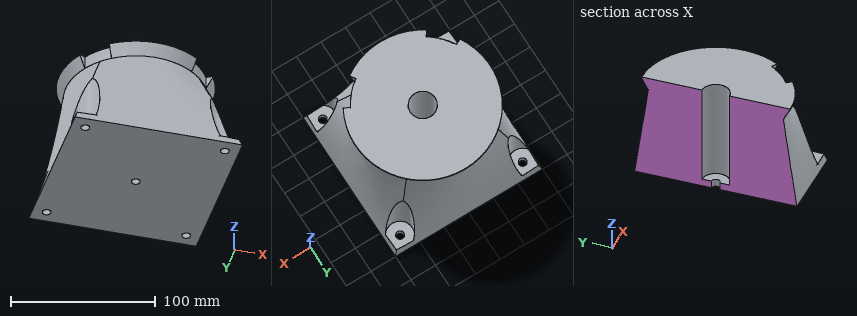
import cadquery as cq
import math

base_side = 120.0
neck_radius = 50.0
neck_height = 71.0

rim_radius = 55.0
lip_thickness = 1.0
total_height = 81.0
lip_height = total_height - lip_thickness

hole_diameter = 6.0
counterbore_diameter = 20.0
floor_thickness = 6.0
corner_inset = counterbore_diameter / 2
corner_offset = base_side / 2 - corner_inset

notch_start_angle = 35.0
notch_end_angle = 60.0
notch_outer_radius = rim_radius + 6.0


def polar_point(radius, angle):
    """Point at an angle in degrees, measured from -Y towards +X."""
    radians = math.radians(angle)
    return (radius * math.sin(radians), -radius * math.cos(radians))


def make_body():
    """Ruled blend whose four corner edges run to the diagonals of the neck circle."""
    half_side = base_side / 2
    base = cq.Wire.makePolygon(
        [
            cq.Vector(half_side, -half_side, 0),
            cq.Vector(half_side, half_side, 0),
            cq.Vector(-half_side, half_side, 0),
            cq.Vector(-half_side, -half_side, 0),
        ],
        close=True,
    )
    neck = cq.Workplane("XY", origin=(0, 0, neck_height)).moveTo(*polar_point(neck_radius, 45))
    for middle_angle in (90, 180, 270, 360):
        neck = neck.threePointArc(
            polar_point(neck_radius, middle_angle),
            polar_point(neck_radius, middle_angle + 45),
        )
    neck_wire = neck.close().val()
    return cq.Workplane("XY").newObject([cq.Solid.makeLoft([base, neck_wire], True)])


def make_rim():
    """Outward cone topped by a thin straight lip."""
    return (
        cq.Workplane("XZ")
        .moveTo(0, neck_height)
        .lineTo(neck_radius, neck_height)
        .lineTo(rim_radius, lip_height)
        .lineTo(rim_radius, total_height)
        .lineTo(0, total_height)
        .close()
        .revolve(360, (0, 0), (0, 1))
    )


def make_notch(side):
    """Cutter with radial ends, reaching in to the neck radius; side is +1 for +X, -1 for -X."""
    start = side * notch_start_angle
    end = side * notch_end_angle
    middle = (start + end) / 2
    return (
        cq.Workplane("XY", origin=(0, 0, neck_height))
        .moveTo(*polar_point(neck_radius, start))
        .threePointArc(polar_point(neck_radius, middle), polar_point(neck_radius, end))
        .lineTo(*polar_point(notch_outer_radius, end))
        .threePointArc(
            polar_point(notch_outer_radius, middle),
            polar_point(notch_outer_radius, start),
        )
        .close()
        .extrude(total_height - neck_height)
    )


def make_counterbored_hole(x, y):
    """Through hole opening into a counterbore that stands on the floor and runs out the top."""
    hole = cq.Workplane("XY").center(x, y).circle(hole_diameter / 2).extrude(total_height)
    counterbore = (
        cq.Workplane("XY", origin=(x, y, floor_thickness))
        .circle(counterbore_diameter / 2)
        .extrude(total_height - floor_thickness)
    )
    return hole.union(counterbore)


def make_corner_clearance(x, y):
    """Square block from a screw axis to the foot corner, clearing the seat beyond the counterbore."""
    return (
        cq.Workplane("XY", origin=(0, 0, floor_thickness))
        .center(x + math.copysign(corner_inset / 2, x), y + math.copysign(corner_inset / 2, y))
        .rect(corner_inset, corner_inset)
        .extrude(total_height - floor_thickness)
    )


result = make_body().union(make_rim())

for side in (-1, 1):
    result = result.cut(make_notch(side))

result = result.cut(make_counterbored_hole(0, 0))

for x in (-corner_offset, corner_offset):
    for y in (-corner_offset, corner_offset):
        result = result.cut(make_counterbored_hole(x, y))
        result = result.cut(make_corner_clearance(x, y))